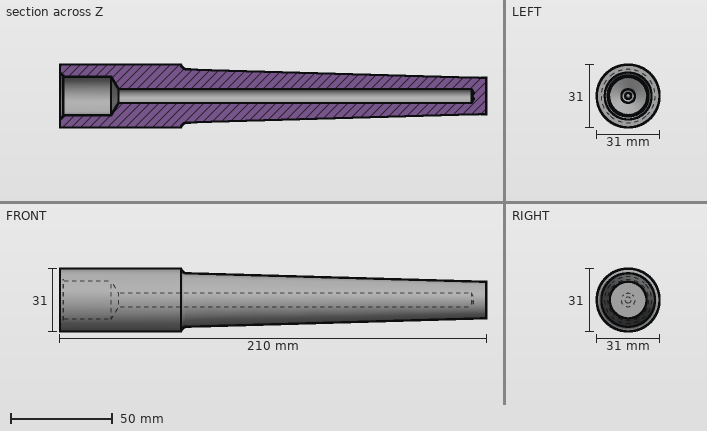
import cadquery as cq
import math

length = 210.0

head_length = 59.6
head_radius = 15.5
fillet_length = 3.2
stem_root_radius = 13.2
stem_tip_radius = 9.0

counterbore_radius = 10.0
mouth_chamfer = 1.5
counterbore_depth = 1.7
socket_radius = 9.5
socket_depth = 25.2
drill_point_angle = 118.0

bore_radius = 3.4
floor_groove_radius = 1.5
floor_point_height = 1.0
bore_depth = 203.7


def drill_point_length(wide_radius, narrow_radius):
    """Axial length of a drill-point cone between two radii."""
    return (wide_radius - narrow_radius) / math.tan(math.radians(drill_point_angle / 2))


def make_body():
    fillet_end = head_length + fillet_length
    diagonal = math.sqrt(0.5)
    arc_middle = (
        fillet_end - fillet_length * diagonal,
        head_radius - (head_radius - stem_root_radius) * diagonal,
    )
    outline = (
        cq.Workplane("XZ")
        .lineTo(0, head_radius)
        .lineTo(head_length, head_radius)
        .threePointArc(arc_middle, (fillet_end, stem_root_radius))
        .lineTo(length, stem_tip_radius)
        .lineTo(length, 0)
        .close()
    )
    return outline.revolve(360, (0, 0, 0), (1, 0, 0))


def make_cavity():
    socket_floor_end = socket_depth + drill_point_length(socket_radius, bore_radius)
    bore_floor_start = bore_depth - drill_point_length(bore_radius, floor_groove_radius)
    outline = cq.Workplane("XZ").polyline([
        (0, 0),
        (0, counterbore_radius + mouth_chamfer),
        (mouth_chamfer, counterbore_radius),
        (counterbore_depth, counterbore_radius),
        (counterbore_depth, socket_radius),
        (socket_depth, socket_radius),
        (socket_floor_end, bore_radius),
        (bore_floor_start, bore_radius),
        (bore_depth, floor_groove_radius),
        (bore_depth - floor_point_height, 0),
    ]).close()
    return outline.revolve(360, (0, 0, 0), (1, 0, 0))


result = make_body().cut(make_cavity())